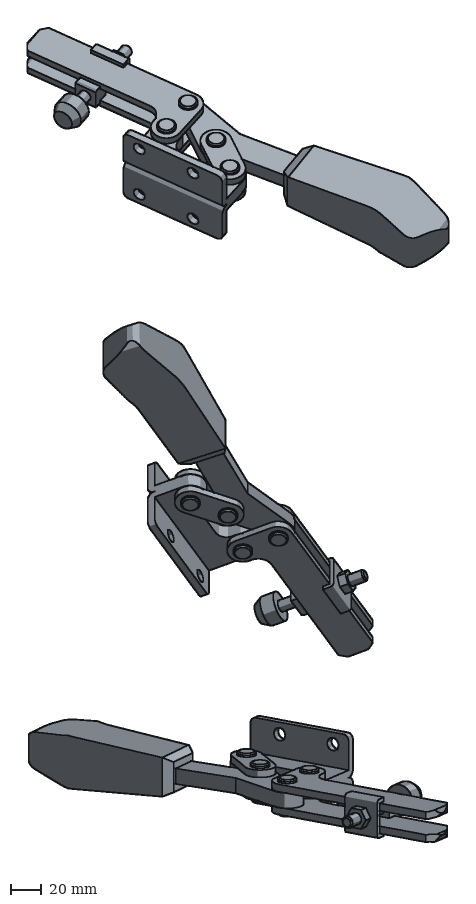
import cadquery as cq
import math


plate = 5.25
core_half = plate
side_plate = 5.05
side_outer = core_half + side_plate
lug_radius = 10.67
plate_radius = 10.2
rivet_diameter = 8.0
rivet_head_diameter = 12.5
rivet_head_height = 2.3
rivet_head_chamfer = 1.0

base_length = 76.6
arm_lever_pivot = (lug_radius, 61.7)
arm_base_pivot = (lug_radius, 35.6)
link_lever_pivot = (44.6, 42.4)
link_base_pivot = (base_length - lug_radius, 25.9)

foot_half_width = 29.0
foot_corner_radius = 4.4
mount_hole_diameter = 8.6
mount_hole_x = (12.4, 53.9)
mount_hole_z = 20.85
slot_floor = 25.2
slot_front_radius = 8.0
slot_rear_radius = 18.0

arm_tip_x = -108.6
arm_top = 71.5
arm_height = 25.2
arm_bottom = arm_top - arm_height
arm_inner_radius = 9.7
tip_depth = 5.2
lip_length = 3.6
lip_flare = 0.6
lip_crest = 1.5
lip_nose = 2.2
lip_undercut = 0.8

spindle_x = -55.1
spindle_diameter = 8.0
spindle_top = 91.35
spindle_chamfer = 1.0
saddle_length = 25.2
saddle_sheet = 2.9
saddle_depth = 7.8
saddle_radius = 2.2
saddle_half_width = side_outer + saddle_sheet
saddle_top = arm_top + saddle_sheet
nut_across_flats = 13.0
nut_height = 5.9
block_length = 15.6
block_half_width = 7.5
block_top = 53.0
block_bottom = 40.5
block_bevel_height = 2.0
block_bevel_width = 0.6
bumper_radius = 10.2
bumper_top = 28.9
bumper_shoulder = 19.2
bumper_bottom = 13.4
bumper_tip_radius = 7.0

lever_tilt = math.radians(4.4)
neck_top = (51.5, 60.4)
shank_width = 20.0
shank_length = 95.0

grip_tilt_degrees = 3.0
grip_front = (96.5, 54.3)
grip_front_top = (96.0, 66.6)
grip_shoulder_top = (102.1, 70.5)
grip_crown = (173.8, 75.6)
grip_tail_top = (215.3, 61.8)
grip_tail_bottom = (202.2, 30.4)
grip_heel = (167.4, 38.8)
grip_shoulder_bottom = (103.3, 36.8)
grip_front_bottom = (97.1, 42.1)
grip_crown_radius = 30.0
grip_heel_radius = 25.0
grip_tail_top_radius = 6.0
grip_tail_bottom_radius = 7.0
grip_front_half_width = 10.3
grip_shoulder = 6.5
grip_shoulder_half_width = 13.3
grip_widest = 77.0
grip_widest_half_width = 18.0
grip_end = 118.5
grip_end_half_width = 10.9
grip_end_radius = 11.5


def plate_disc(center, radius, z_bottom, thickness):
    """Disc lying in the XY plane."""
    sketch = cq.Workplane("XY", origin=(0, 0, z_bottom))
    return sketch.center(*center).circle(radius).extrude(thickness)


def prism(points, half_thickness):
    """Polygon in XY, extruded equally to both sides of the middle plane."""
    return cq.Workplane("XY").polyline(points).close().extrude(half_thickness, both=True)


def rivet(center):
    """Shank through the clamp with one bevelled head on each outer side."""
    shank = plate_disc(center, rivet_diameter / 2, -side_outer, 2 * side_outer)
    head_radius = rivet_head_diameter / 2
    upper = plate_disc(center, head_radius, side_outer, rivet_head_height)
    upper = upper.faces(">Z").chamfer(rivet_head_chamfer)
    return shank.union(upper).union(upper.mirror("XY"))


def drill_pivots(body, pivots):
    """Rivet holes through the middle layer."""
    for pivot in pivots:
        body = body.cut(plate_disc(pivot, rivet_diameter / 2, -core_half, 2 * core_half))
    return body


def tangent_point(center, radius, point):
    """Upper point of a circle where the line to a point right of it is tangent."""
    dx = point[0] - center[0]
    dy = point[1] - center[1]
    angle = math.atan2(dy, dx) + math.acos(radius / math.hypot(dx, dy))
    return (center[0] + radius * math.cos(angle), center[1] + radius * math.sin(angle))


def round_corner(body, corner, radius):
    """Fillet the Z-parallel edge of a prism at an XY corner."""
    nearest = cq.selectors.NearestToPointSelector((*corner, 0))
    return body.edges("|Z").edges(nearest).fillet(radius)


def make_base():
    """Upright web with two lugs, folded out into a four-hole foot."""
    front_edge = 2 * lug_radius

    lug_x, lug_y = link_base_pivot
    blend_y = slot_floor + slot_rear_radius
    lug_gap = math.sqrt((lug_radius + slot_rear_radius) ** 2 - (blend_y - lug_y) ** 2)
    blend_x = lug_x - lug_gap
    end_angle = math.atan2(lug_y - blend_y, lug_gap)
    mid_angle = (end_angle - math.pi / 2) / 2
    blend_mid, blend_end = (
        (blend_x + slot_rear_radius * math.cos(angle), blend_y + slot_rear_radius * math.sin(angle))
        for angle in (mid_angle, end_angle)
    )

    web = (
        cq.Workplane("XY")
        .moveTo(0, plate)
        .lineTo(0, arm_base_pivot[1])
        .threePointArc((lug_radius, arm_base_pivot[1] + lug_radius), (front_edge, arm_base_pivot[1]))
        .lineTo(front_edge, slot_floor)
        .lineTo(blend_x, slot_floor)
        .threePointArc(blend_mid, blend_end)
        .threePointArc((lug_x, lug_y + lug_radius), (base_length, lug_y))
        .lineTo(base_length, plate)
        .close()
        .extrude(core_half, both=True)
    )
    web = round_corner(web, (front_edge, slot_floor), slot_front_radius)
    foot = (
        cq.Workplane("XZ")
        .center(base_length / 2, 0)
        .rect(base_length, 2 * foot_half_width)
        .extrude(-plate)
        .edges("|Y")
        .fillet(foot_corner_radius)
    )
    base = web.union(foot).cut(fold_groove())
    holes = (
        cq.Workplane("XZ")
        .pushPoints([(x, z) for x in mount_hole_x for z in (-mount_hole_z, mount_hole_z)])
        .circle(mount_hole_diameter / 2)
        .extrude(-plate)
    )
    return drill_pivots(base.cut(holes), (arm_base_pivot, link_base_pivot))


def fold_groove():
    """Groove under the foot, left between the outer radii of the two folds."""
    bend = plate * math.sqrt(0.5)
    return (
        cq.Workplane("YZ")
        .moveTo(0, -plate)
        .threePointArc((plate - bend, bend - plate), (plate, 0))
        .threePointArc((plate - bend, plate - bend), (0, plate))
        .close()
        .extrude(base_length)
    )


def arm_plate():
    """Upper arm plate: long bar with a round tip, a leg and a flared lip."""
    tip_corner = arm_tip_x + tip_depth
    arm_right = lug_radius + plate_radius
    leg_left = lug_radius - plate_radius
    bend = plate_radius * math.sqrt(0.5)
    outline = (
        cq.Workplane("XY")
        .moveTo(tip_corner, arm_bottom)
        .threePointArc((arm_tip_x, arm_top - arm_height / 2), (tip_corner, arm_top))
        .lineTo(lug_radius, arm_top)
        .threePointArc(
            (lug_radius + bend, arm_top - plate_radius + bend),
            (arm_right, arm_top - plate_radius),
        )
        .lineTo(arm_right, arm_base_pivot[1])
        .threePointArc((lug_radius, arm_base_pivot[1] - plate_radius), (leg_left, arm_base_pivot[1]))
        .lineTo(leg_left, arm_bottom)
        .close()
        .extrude(side_outer + lip_flare)
    )
    outline = round_corner(outline, (leg_left, arm_bottom), arm_inner_radius)
    lip_start = arm_tip_x + lip_length
    side_profile = (
        cq.Workplane("XZ")
        .moveTo(arm_right, core_half)
        .lineTo(arm_right, side_outer)
        .lineTo(lip_start, side_outer)
        .lineTo(arm_tip_x + lip_crest, side_outer + lip_flare)
        .lineTo(arm_tip_x, core_half + lip_nose)
        .lineTo(arm_tip_x + lip_undercut, core_half + lip_flare)
        .lineTo(lip_start, core_half)
        .close()
        .extrude(-arm_top)
    )
    return outline.intersect(side_profile)


def make_arm():
    """Both arm plates held together by their two rivets."""
    upper = arm_plate()
    arm = rivet(arm_lever_pivot).union(rivet(arm_base_pivot))
    return arm.union(upper).union(upper.mirror("XY"))


def make_link():
    """Both link plates held together by their two rivets."""
    start, end = link_lever_pivot, link_base_pivot
    dx = end[0] - start[0]
    dy = end[1] - start[1]
    upper = (
        cq.Workplane("XY", origin=(start[0] + dx / 2, start[1] + dy / 2, core_half))
        .transformed(rotate=(0, 0, math.degrees(math.atan2(dy, dx))))
        .slot2D(math.hypot(dx, dy) + 2 * plate_radius, 2 * plate_radius)
        .extrude(side_plate)
    )
    link = rivet(start).union(rivet(end))
    return link.union(upper).union(upper.mirror("XY"))


def lever_blank():
    """Solid lever: two pivot lugs and a straight tilted shank."""
    along = (math.cos(lever_tilt), math.sin(lever_tilt))
    across = (math.sin(lever_tilt), -math.cos(lever_tilt))
    end_top = (neck_top[0] + shank_length * along[0], neck_top[1] + shank_length * along[1])
    end_bottom = (end_top[0] + shank_width * across[0], end_top[1] + shank_width * across[1])
    neck_bottom = (neck_top[0] + shank_width * across[0], neck_top[1] + shank_width * across[1])

    link_dx = link_base_pivot[0] - link_lever_pivot[0]
    link_dy = link_base_pivot[1] - link_lever_pivot[1]
    link_length = math.hypot(link_dx, link_dy)
    ux, uy = link_dx / link_length, link_dy / link_length
    lug_edge = (link_lever_pivot[0] + lug_radius * uy, link_lever_pivot[1] - lug_radius * ux)
    back = (lug_edge[0] - arm_lever_pivot[0]) * ux + (lug_edge[1] - arm_lever_pivot[1]) * uy
    edge_start = (lug_edge[0] - back * ux, lug_edge[1] - back * uy)

    top_tangent = tangent_point(arm_lever_pivot, lug_radius, neck_top)
    body = prism([top_tangent, neck_top, end_top, end_bottom, neck_bottom, lug_edge, edge_start], core_half)
    for pivot in (arm_lever_pivot, link_lever_pivot):
        body = body.union(plate_disc(pivot, lug_radius, -core_half, 2 * core_half))
    return body


def make_lever():
    return drill_pivots(lever_blank(), (arm_lever_pivot, link_lever_pivot))


def make_grip():
    """Moulded grip: height outline crossed with a tilted width outline."""
    height_shape = prism(
        [
            grip_front_top,
            grip_shoulder_top,
            grip_crown,
            grip_tail_top,
            grip_tail_bottom,
            grip_heel,
            grip_shoulder_bottom,
            grip_front_bottom,
        ],
        grip_widest_half_width,
    )
    height_shape = round_corner(height_shape, grip_crown, grip_crown_radius)
    height_shape = round_corner(height_shape, grip_heel, grip_heel_radius)
    height_shape = round_corner(height_shape, grip_tail_top, grip_tail_top_radius)
    height_shape = round_corner(height_shape, grip_tail_bottom, grip_tail_bottom_radius)

    upper_side = [
        (0, grip_front_half_width),
        (grip_shoulder, grip_shoulder_half_width),
        (grip_widest, grip_widest_half_width),
        (grip_end, grip_end_half_width),
    ]
    lower_side = [(x, -z) for x, z in reversed(upper_side)]
    reach = 2 * grip_widest_half_width
    width_shape = (
        cq.Workplane("XZ")
        .polyline(upper_side + lower_side)
        .close()
        .extrude(reach, both=True)
        .edges("|Y and >X")
        .fillet(grip_end_radius)
        .rotate((0, 0, 0), (0, 0, 1), grip_tilt_degrees)
        .translate((*grip_front, 0))
    )
    return height_shape.intersect(width_shape).cut(lever_blank())


def spindle_cylinder(radius, bottom, top):
    """Upright cylinder on the spindle axis."""
    return cq.Workplane("XZ", origin=(spindle_x, bottom, 0)).circle(radius).extrude(bottom - top)


def make_saddle():
    """U-shaped sheet straddling the top edges of both arm plates."""
    bottom = saddle_top - saddle_depth
    outer = (
        cq.Workplane("XY")
        .box(saddle_length, saddle_depth, 2 * saddle_half_width)
        .translate((spindle_x, bottom + saddle_depth / 2, 0))
        .edges("|X and >Y")
        .fillet(saddle_radius)
    )
    inner_depth = saddle_depth - saddle_sheet
    inner = (
        cq.Workplane("XY")
        .box(saddle_length, inner_depth, 2 * side_outer)
        .translate((spindle_x, bottom + inner_depth / 2, 0))
    )
    bore = spindle_cylinder(spindle_diameter / 2, bottom, saddle_top)
    return outer.cut(inner).cut(bore)


def guide_block():
    """T-shaped block: narrow between the arm plates, wide below them."""
    bevel_top = block_bottom + block_bevel_height
    bottom_half_width = block_half_width - block_bevel_width
    right_side = [
        (block_top, core_half),
        (arm_bottom, core_half),
        (arm_bottom, block_half_width),
        (bevel_top, block_half_width),
        (block_bottom, bottom_half_width),
    ]
    left_side = [(y, -z) for y, z in reversed(right_side)]
    profile = cq.Workplane("YZ", origin=(spindle_x, 0, 0)).polyline(right_side + left_side)
    return profile.close().extrude(block_length / 2, both=True)


def make_spindle():
    """Threaded rod with its hex nut, guide block and pressure bumper."""
    rod = spindle_cylinder(spindle_diameter / 2, bumper_shoulder, spindle_top)
    rod = rod.faces(">Y").chamfer(spindle_chamfer)
    nut = (
        cq.Workplane("XZ", origin=(spindle_x, saddle_top, 0))
        .polygon(6, nut_across_flats / math.cos(math.pi / 6))
        .extrude(-nut_height)
    )
    bumper = (
        cq.Workplane("XY", origin=(spindle_x, 0, 0))
        .polyline(
            [
                (0, bumper_top),
                (bumper_radius, bumper_top),
                (bumper_radius, bumper_shoulder),
                (bumper_tip_radius, bumper_bottom),
                (0, bumper_bottom),
            ]
        )
        .close()
        .revolve(360, (0, 0, 0), (0, 1, 0))
    )
    return rod.union(nut).union(guide_block()).union(bumper)


base = make_base()
arm = make_arm()
link = make_link()
lever = make_lever()
grip = make_grip()
saddle = make_saddle()
spindle = make_spindle()

result = cq.Compound.makeCompound(
    [body.solids().val() for body in (base, arm, link, lever, grip, saddle, spindle)]
)